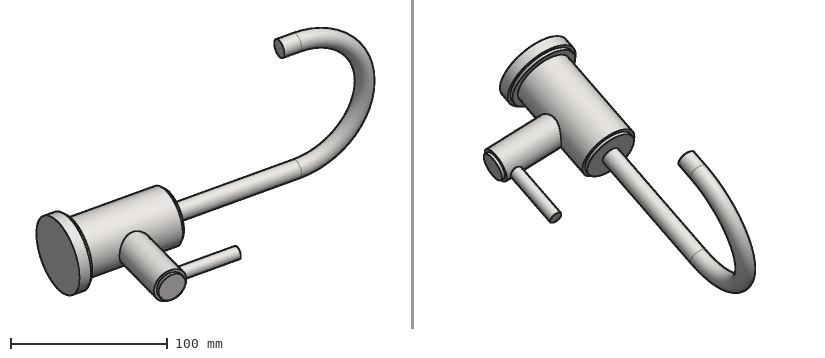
import cadquery as cq

total_length = 234.3
total_height = 135.0
total_width = 92.8

flange_diameter = 53.9
flange_thickness = 10.8
body_diameter = 41.2
body_end = 82.7
rim_step_inset = 2.0
rim_step_depth = 2.3

arm_diameter = 24.1
arm_y = 45.5
arm_end = total_width - flange_diameter / 2
handle_diameter = 9.1
handle_x = 56.0
handle_end = 99.8

spout_diameter = 13.0
outlet_length = 12.7
outlet_z = total_height - flange_diameter / 2 - spout_diameter / 2
bend_radius = outlet_z / 2
bend_y = total_length - spout_diameter / 2 - bend_radius


def cylinder(diameter, start, end, direction):
    """Solid cylinder reaching from start to end along a unit direction."""
    start_point = cq.Vector(*start)
    length = (cq.Vector(*end) - start_point).Length
    solid = cq.Solid.makeCylinder(diameter / 2, length, start_point, cq.Vector(*direction))
    return cq.Workplane(obj=solid)


def stepped_cylinder(diameter, start, end, direction):
    """Cylinder whose far end is stepped down to a slightly smaller diameter."""
    shoulder = tuple(place - rim_step_depth * axis for place, axis in zip(end, direction))
    main = cylinder(diameter, start, shoulder, direction)
    end_cap = cylinder(diameter - 2 * rim_step_inset, start, end, direction)
    return main.union(end_cap)


def make_base():
    """Flange and body, each with a stepped rim on its far end."""
    along_y = (0, 1, 0)
    flange = stepped_cylinder(flange_diameter, (0, 0, 0), (0, flange_thickness, 0), along_y)
    body = stepped_cylinder(body_diameter, (0, 0, 0), (0, body_end, 0), along_y)
    return flange.union(body)


def make_control():
    """Side arm with a stepped end, carrying the slim handle."""
    arm = stepped_cylinder(arm_diameter, (0, arm_y, 0), (arm_end, arm_y, 0), (1, 0, 0))
    handle = cylinder(handle_diameter, (handle_x, arm_y, 0), (handle_x, handle_end, 0), (0, 1, 0))
    return arm.union(handle)


def make_spout():
    """Round bar swept from inside the body, over a half-circle bend, to the outlet."""
    path = (
        cq.Workplane("YZ")
        .moveTo(arm_y, 0)
        .lineTo(bend_y, 0)
        .threePointArc((bend_y + bend_radius, bend_radius), (bend_y, outlet_z))
        .lineTo(bend_y - outlet_length, outlet_z)
    )
    section = cq.Workplane("XZ", origin=(0, arm_y, 0)).circle(spout_diameter / 2)
    return section.sweep(path)


result = make_base().union(make_control()).union(make_spout())